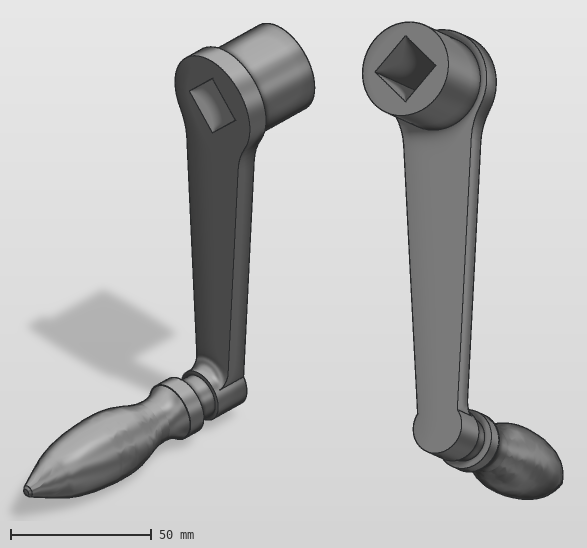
import cadquery as cq
import math

HEAD_RADIUS = 19.5
PLATE_THICKNESS = 7.8
HANDLE_DISTANCE = 125.0
ARM_TOP_HALF_WIDTH = 13.3
ARM_END_HALF_WIDTH = 7.5
ARM_TAPER_LENGTH = 103.0
BLEND_RADIUS = 25.0

HUB_RADIUS = 17.0
HUB_LENGTH = 26.0
SOCKET_SIDE = 17.0

BOSS_RADIUS = 9.5
BOSS_LENGTH = 14.0
BOSS_FILLET = 4.0

NECK_RADIUS = 8.0
COLLAR_RADIUS = 10.7
COLLAR_START = 22.0
COLLAR_END = 28.4
FLARE_START = (10.4, COLLAR_END)
FLARE_MIDDLE = (8.8, 31.5)
WAIST = (NECK_RADIUS, 36.0)
GRIP_START = (8.3, 40.0)
GRIP_REAR = (11.5, 49.8)
GRIP_BELLY = (12.5, 61.0)
GRIP_FRONT = (10.2, 79.5)
GRIP_START_DIRECTION = (0.25, 1)
GRIP_END_DIRECTION = (-0.5, 1)
HANDLE_LENGTH = 98.4
TIP_RADIUS = 2.2
TIP_CHAMFER = 1.0


def turn_about_handle_axis(profile):
    """Revolve a closed (radius, forward) profile and place it on the handle axis."""
    turned = profile.revolve(360, (0, 0, 0), (0, 1, 0))
    return turned.rotate((0, 0, 0), (0, 0, 1), 180).translate((0, 0, -HANDLE_DISTANCE))


def make_arm(length):
    """Tapered arm, joined to the head outline by concave tangent arcs."""
    taper = math.atan2(ARM_TOP_HALF_WIDTH - ARM_END_HALF_WIDTH, ARM_TAPER_LENGTH)
    reach = HEAD_RADIUS + BLEND_RADIUS
    center_x = ARM_TOP_HALF_WIDTH + BLEND_RADIUS * math.cos(taper)
    center_z = -math.sqrt(reach**2 - center_x**2)

    def blend_point(angle):
        x = center_x + BLEND_RADIUS * math.cos(angle)
        z = center_z + BLEND_RADIUS * math.sin(angle)
        return x, z

    head_angle = math.atan2(-center_z, -center_x)
    arm_angle = math.pi - taper
    head_x, head_z = blend_point(head_angle)
    mid_x, mid_z = blend_point((head_angle + arm_angle) / 2)
    arm_x, arm_z = blend_point(arm_angle)
    return (
        cq.Workplane("XZ")
        .moveTo(-head_x, head_z)
        .lineTo(head_x, head_z)
        .threePointArc((mid_x, mid_z), (arm_x, arm_z))
        .lineTo(ARM_END_HALF_WIDTH, -HANDLE_DISTANCE)
        .lineTo(-ARM_END_HALF_WIDTH, -HANDLE_DISTANCE)
        .lineTo(-arm_x, arm_z)
        .threePointArc((-mid_x, mid_z), (-head_x, head_z))
        .close()
        .extrude(length)
    )


def make_head_and_hub():
    head = cq.Workplane("XZ").circle(HEAD_RADIUS).extrude(PLATE_THICKNESS)
    hub = cq.Workplane("XZ").circle(HUB_RADIUS).extrude(-HUB_LENGTH)
    return head.union(hub)


def make_socket():
    """Square through hole with its corners on the X and Z directions."""
    socket = cq.Workplane("XZ", origin=(0, HUB_LENGTH, 0)).rect(SOCKET_SIDE, SOCKET_SIDE)
    return socket.extrude(HUB_LENGTH + PLATE_THICKNESS).rotate((0, 0, 0), (0, 1, 0), 45)


def make_boss_fillet():
    """Concave ring between the plate and the boss, kept within the arm width."""
    front = PLATE_THICKNESS + BOSS_FILLET
    outer = BOSS_RADIUS + BOSS_FILLET
    inset = BOSS_FILLET * (1 - math.sqrt(0.5))
    profile = (
        cq.Workplane("XY")
        .moveTo(0, 0)
        .lineTo(outer, 0)
        .lineTo(outer, PLATE_THICKNESS)
        .threePointArc((BOSS_RADIUS + inset, PLATE_THICKNESS + inset), (BOSS_RADIUS, front))
        .lineTo(0, front)
        .close()
    )
    return turn_about_handle_axis(profile).intersect(make_arm(BOSS_LENGTH))


def make_handle():
    """Boss, neck, collar and barrel-shaped grip as one turned body."""
    profile = (
        cq.Workplane("XY")
        .moveTo(0, 0)
        .lineTo(BOSS_RADIUS, 0)
        .lineTo(BOSS_RADIUS, BOSS_LENGTH)
        .lineTo(NECK_RADIUS, BOSS_LENGTH)
        .lineTo(NECK_RADIUS, COLLAR_START)
        .lineTo(COLLAR_RADIUS, COLLAR_START)
        .lineTo(COLLAR_RADIUS, COLLAR_END)
        .lineTo(*FLARE_START)
        .threePointArc(FLARE_MIDDLE, WAIST)
        .lineTo(*GRIP_START)
        .spline(
            [GRIP_REAR, GRIP_BELLY, GRIP_FRONT, (TIP_RADIUS, HANDLE_LENGTH - TIP_CHAMFER)],
            tangents=[GRIP_START_DIRECTION, GRIP_END_DIRECTION],
            includeCurrent=True,
        )
        .lineTo(TIP_RADIUS - TIP_CHAMFER, HANDLE_LENGTH)
        .lineTo(0, HANDLE_LENGTH)
        .close()
    )
    return turn_about_handle_axis(profile)


crank = make_head_and_hub().union(make_arm(PLATE_THICKNESS))
crank = crank.union(make_handle()).union(make_boss_fillet())
result = crank.cut(make_socket())